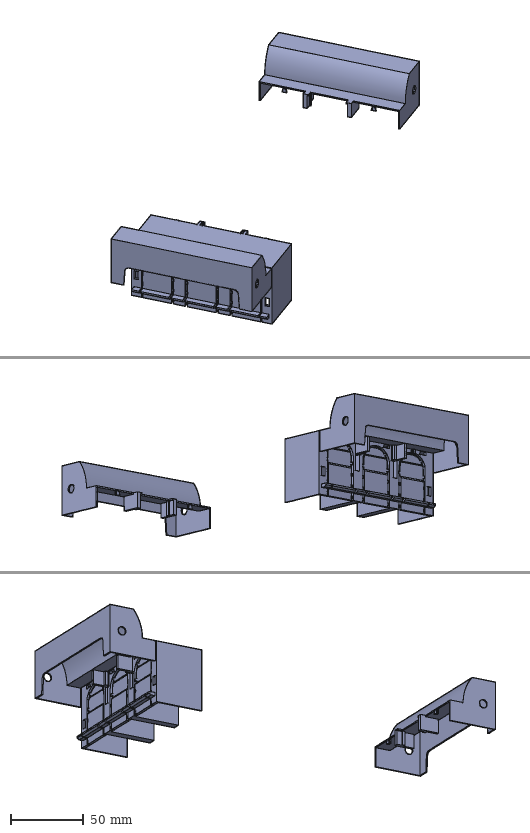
import cadquery as cq
import math

width = 105.0
total_length = 306.36
block_height = 45.0
cover_top = 65.0
cover_bottom = 30.0
cover_depth = 36.0
block_gap = 0.9
block_front = cover_depth + block_gap
block_depth = 36.0
block_back = block_front + block_depth
wall = 1.0

hump_depth = 25.8
hump_radius = 31.0
opening_top = 44.5
opening_half_top = 42.2
opening_half_bottom = 43.2
opening_corner = 3.5
side_hole_diameter = 6.0
side_hole_y = 9.6
side_hole_z = 47.2

tongue_inner = 14.0
tongue_outer = 18.0
tongue_middle = (tongue_inner + tongue_outer) / 2
blade_inner = 15.0
lug_length = 2.0
tongue_length = 3.9
tongue_bottom = 33.8
tongue_side_wall = 0.5
tongue_end_wall = 1.0
block_tongue_length = 4.9
lower_tongue_bottom = 22.0
socket_outer = 19.0
socket_step = 15.7
socket_depth = 4.6
socket_bottom = 33.4
lower_socket_bottom = 21.6
divider_outer = 20.0
hook_bottom_width = 3.6
hook_top_width = 2.0
hook_bottom = 41.0
cover_hook_length = block_gap
block_hook_length = 1.9

pole_pitch = 33.3
front_plate = 2.0
frame_half = 12.3
frame_limit = 44.9
frame_center_z = 29.7
frame_top = 41.9
door_half = 10.65
door_center_z = 30.2
door_top = 40.6
bridge_height = 1.8
bridge_overlap = 0.5
bridge_heights = (2.3, 10.3, 18.3, 26.3)
bridge_angle = 38.0
door_slit_bottom = 34.2
door_slit_height = 0.5
door_recess = 0.8
door_step_bottom = 22.6
door_step_top = 23.8
window_bottom = 41.7
window_inner_bottom = 6.2
window_inner_top = 7.6
side_window_width = 3.0
side_window_x = 48.8
side_window_bottom = 13.6
side_window_height = 6.4

ledge_length = 4.6
ledge_lower_length = 3.0
ledge_top = 7.4
ledge_step = 6.2
ledge_bottom = 5.0
ledge_half_span = 50.4


def box(x0, x1, y0, y1, z0, z1):
    """Box between two opposite corners."""
    return cq.Workplane("XY").box(x1 - x0, y1 - y0, z1 - z0, centered=False).translate((x0, y0, z0))


def extrude_along_x(profile, x0, x1):
    """Extrude a closed (Y, Z) profile drawn on the YZ plane from x0 to x1."""
    return profile.extrude(x1 - x0).translate((x0, 0, 0))


def extrude_along_y(profile, y0, y1):
    """Extrude a closed (X, Z) profile drawn on the XZ plane from y0 to y1."""
    return profile.extrude(-(y1 - y0)).translate((0, y0, 0))


def both_sides(shape):
    """The shape together with its mirror image across X = 0."""
    return shape.union(shape.mirror("YZ"))


def hooks_at(y_start, length):
    """Small locking hooks, one on each outer pole, pointing toward +Y."""
    hooks = cq.Workplane("XY")
    for pole_x in (-pole_pitch, pole_pitch):
        profile = cq.Workplane("XZ").polyline([
            (pole_x - hook_bottom_width / 2, hook_bottom),
            (pole_x + hook_bottom_width / 2, hook_bottom),
            (pole_x + hook_top_width / 2, block_height - wall),
            (pole_x - hook_top_width / 2, block_height - wall),
        ]).close()
        hooks = hooks.union(extrude_along_y(profile, y_start, y_start + length))
        hooks = hooks.union(box(pole_x - hook_top_width / 2, pole_x + hook_top_width / 2,
                                y_start - wall, y_start, hook_bottom, block_height))
    return hooks


def cover_profile(inset):
    """Side outline of a cover; the inset moves it inward everywhere but at the open foot and flange end."""
    center_y = hump_depth - hump_radius
    radius = hump_radius - inset
    top = cover_top - inset
    flange_top = block_height - inset
    arc_end_y = center_y + math.sqrt(radius**2 - (top - block_height)**2)
    side_y = center_y + math.sqrt(radius**2 - (flange_top - block_height)**2)
    middle_angle = math.atan2(top - block_height, arc_end_y - center_y) / 2
    arc_middle = (center_y + radius * math.cos(middle_angle), block_height + radius * math.sin(middle_angle))
    return (
        cq.Workplane("YZ")
        .moveTo(inset, cover_bottom)
        .lineTo(inset, top)
        .lineTo(arc_end_y, top)
        .threePointArc(arc_middle, (side_y, flange_top))
        .lineTo(cover_depth, flange_top)
        .lineTo(cover_depth, cover_bottom)
        .close()
    )


def cover_opening():
    """Cable opening of the cover's face, open at the foot and slightly wider there."""
    profile = cq.Workplane("XZ").polyline([
        (-opening_half_bottom, cover_bottom),
        (-opening_half_top, opening_top),
        (opening_half_top, opening_top),
        (opening_half_bottom, cover_bottom),
    ]).close()
    cut = extrude_along_y(profile, 0, wall)
    return cut.edges("|Y and >Z").fillet(opening_corner)


def cover_tongue():
    """One tongue with the rib that carries it under the flange."""
    rib = box(tongue_middle, tongue_outer, hump_depth, cover_depth, tongue_bottom, block_height)
    lug = box(tongue_inner, tongue_middle, cover_depth - lug_length, cover_depth, tongue_bottom, block_height)
    tip = cover_depth + tongue_length
    blade = box(blade_inner, tongue_outer, cover_depth, tip, tongue_bottom, block_height)
    roof = box(tongue_inner, tongue_outer, cover_depth, tip, block_height - wall, block_height)
    return rib.union(lug).union(blade).union(roof)


def make_cover():
    """Front cover: a hollow hood, open below and toward the block."""
    half = width / 2
    shell = extrude_along_x(cover_profile(0), -half, half)
    hollow = extrude_along_x(cover_profile(wall), -half + wall, half - wall)
    hood = shell.cut(hollow).cut(cover_opening())
    hole = cq.Workplane("YZ").center(side_hole_y, side_hole_z).circle(side_hole_diameter / 2)
    hood = hood.cut(extrude_along_x(hole, -half, half))
    return hood.union(both_sides(cover_tongue())).union(hooks_at(cover_depth, cover_hook_length))


def arch(pole_x, half_width, center_z, top):
    """Outline with straight sides and a round head that is cut flat at the top."""
    flat_half = math.sqrt(half_width**2 - (top - center_z)**2)
    head_angle = math.atan2(top - center_z, flat_half) / 2
    shoulder_x = half_width * math.cos(head_angle)
    shoulder_z = center_z + half_width * math.sin(head_angle)
    return (
        cq.Workplane("XZ")
        .moveTo(pole_x - half_width, 0)
        .lineTo(pole_x - half_width, center_z)
        .threePointArc((pole_x - shoulder_x, shoulder_z), (pole_x - flat_half, top))
        .lineTo(pole_x + flat_half, top)
        .threePointArc((pole_x + shoulder_x, shoulder_z), (pole_x + half_width, center_z))
        .lineTo(pole_x + half_width, 0)
        .close()
    )


def door_opening(pole_x, y0, y1):
    """Opening around one door between two Y positions, kept clear of the side frames."""
    opening = extrude_along_y(arch(pole_x, frame_half, frame_center_z, frame_top), y0, y1)
    return opening.intersect(box(-frame_limit, frame_limit, y0, y1, 0, block_height))


def door(pole_x):
    """Door whose upper part is set back behind a sloped step, with a slit under its arched head."""
    back = block_front + front_plate
    set_back = block_front + door_recess
    profile = cq.Workplane("YZ").polyline([
        (block_front, 0),
        (block_front, door_step_bottom),
        (set_back, door_step_top),
        (set_back, block_height),
        (back, block_height),
        (back, 0),
    ]).close()
    slab = extrude_along_x(profile, pole_x - door_half, pole_x + door_half)
    slit = box(pole_x - door_half, pole_x + door_half, block_front, back,
               door_slit_bottom, door_slit_bottom + door_slit_height)
    outline = extrude_along_y(arch(pole_x, door_half, door_center_z, door_top), block_front, back)
    return slab.intersect(outline).cut(slit)


def door_bridges(pole_x):
    """Thin break-off bridges across the gap around one door."""
    y0 = block_front + door_recess
    y1 = block_front + front_plate
    inner = door_half - bridge_overlap
    outer = frame_half + bridge_overlap
    bridges = cq.Workplane("XY")
    for z in bridge_heights:
        for side in (-1, 1):
            ends = sorted((pole_x + side * inner, pole_x + side * outer))
            bridges = bridges.union(box(*ends, y0, y1, z - bridge_height / 2, z + bridge_height / 2))
    for angle in (bridge_angle, 180 - bridge_angle):
        bar = box(inner, outer, y0, y1, -bridge_height / 2, bridge_height / 2)
        bar = bar.rotate((0, 0, 0), (0, 1, 0), -angle).translate((pole_x, 0, door_center_z))
        bridges = bridges.union(bar)
    return bridges


def head_windows(pole_x):
    """The two small openings under the roof, left and right of one arch."""
    windows = cq.Workplane("XY")
    for side in (-1, 1):
        profile = cq.Workplane("XZ").polyline([
            (pole_x + side * window_inner_bottom, window_bottom),
            (pole_x + side * frame_half, window_bottom),
            (pole_x + side * frame_half, block_height - wall),
            (pole_x + side * window_inner_top, block_height - wall),
        ]).close()
        windows = windows.union(extrude_along_y(profile, block_front, block_front + front_plate))
    return windows


def ledges():
    """Stepped ledge along the foot of the front plate."""
    profile = cq.Workplane("YZ").polyline([
        (block_front + front_plate, ledge_top),
        (block_front - ledge_length, ledge_top),
        (block_front - ledge_length, ledge_step),
        (block_front - ledge_lower_length, ledge_bottom),
        (block_front + front_plate, ledge_bottom),
    ]).close()
    return extrude_along_x(profile, -ledge_half_span, ledge_half_span)


def ledge_gap(pole_x):
    """Gap around one door continued through the ledge in front of the plate."""
    y0 = block_front - ledge_length
    opening = door_opening(pole_x, y0, block_front)
    return opening.cut(extrude_along_y(arch(pole_x, door_half, door_center_z, door_top), y0, block_front))


def sockets():
    """Stepped slot at the front that receives a cover tongue."""
    back = block_front + socket_depth
    upper = box(tongue_inner, socket_outer, block_front, back, socket_bottom, block_height)
    lower = box(socket_step, socket_outer, block_front, back, lower_socket_bottom, socket_bottom)
    return both_sides(upper.union(lower))


def block_tongues():
    """Tongues at the back: a hollow upper part and a narrower, shorter lower part."""
    tip = block_back + block_tongue_length
    upper = box(tongue_inner, tongue_outer, block_back, tip, socket_bottom, block_height)
    pocket = box(tongue_inner + tongue_side_wall, tongue_middle, block_back, tip - tongue_end_wall,
                 socket_bottom, block_height)
    lower = box(tongue_middle, tongue_outer, block_back, block_back + tongue_length,
                lower_tongue_bottom, socket_bottom)
    return both_sides(upper.cut(pocket).union(lower))


def make_block():
    """Sleeve open below and at the back, with dividers and a front plate of three knock-out doors."""
    half = width / 2
    body = box(-half, half, block_front, block_back, 0, block_height)
    plate_back = block_front + front_plate
    ceiling = block_height - wall
    body = body.cut(box(-half + wall, half - wall, plate_back, block_back, 0, ceiling))
    divider = box(tongue_inner, divider_outer, plate_back, block_back, 0, ceiling)
    body = body.union(both_sides(divider))

    body = body.union(ledges())
    for pole_x in (-pole_pitch, 0, pole_pitch):
        body = body.cut(door_opening(pole_x, block_front, plate_back))
        body = body.cut(head_windows(pole_x)).cut(ledge_gap(pole_x))
        body = body.union(door(pole_x)).union(door_bridges(pole_x))

    side_window = box(side_window_x - side_window_width / 2, side_window_x + side_window_width / 2,
                      block_front, plate_back,
                      side_window_bottom, side_window_bottom + side_window_height)
    body = body.cut(both_sides(side_window)).cut(sockets())
    return body.union(block_tongues()).union(hooks_at(block_back, block_hook_length))


block = make_block()
front_cover = make_cover()
rear_cover = make_cover().mirror("XZ").translate((0, total_length, 0))

result = cq.Compound.makeCompound([
    block.solids().val(),
    front_cover.solids().val(),
    rear_cover.solids().val(),
])